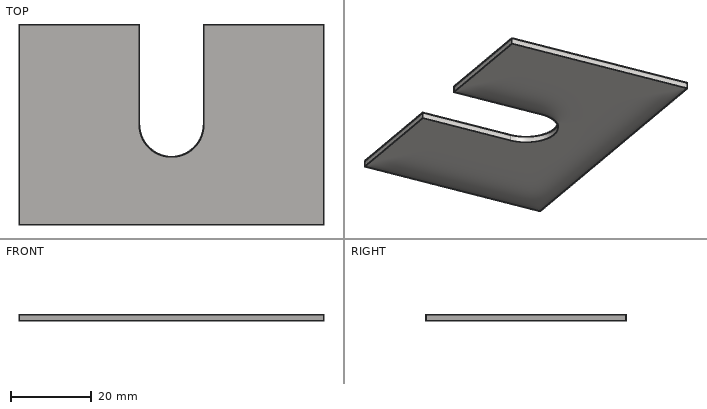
import cadquery as cq

plate_length = 76.0
plate_width = 50.0
plate_thickness = 1.57

slot_width = 16.0
slot_radius = slot_width / 2
half_length = plate_length / 2
half_width = plate_width / 2


def slotted_plate():
    """Flat plate with a round-bottomed slot running in from the +Y edge."""
    outline = (
        cq.Workplane("XY")
        .moveTo(-half_length, -half_width)
        .lineTo(half_length, -half_width)
        .lineTo(half_length, half_width)
        .lineTo(slot_radius, half_width)
        .lineTo(slot_radius, 0)
        .threePointArc((0, -slot_radius), (-slot_radius, 0))
        .lineTo(-slot_radius, half_width)
        .lineTo(-half_length, half_width)
        .close()
    )
    return outline.extrude(plate_thickness)


result = slotted_plate()